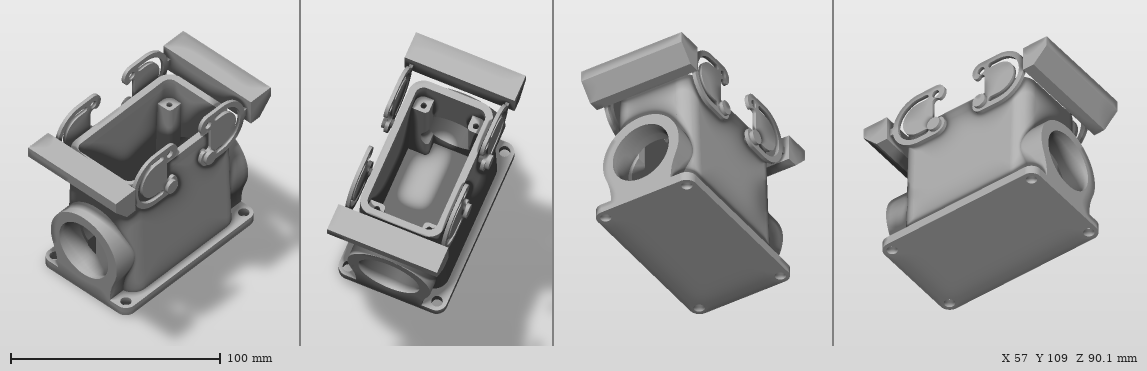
import cadquery as cq
import math


flange_width = 55.6
flange_length = 92.4
flange_height = 4.8
flange_corner_radius = 5.2
screw_hole_diameter = 5.5
screw_hole_inset = 4.8

rim_width = 43.1
base_width = 47.5
tower_length = 73.5
rim_bottom = 68.5
rim_top = 74.0
wall = 3.6
tower_corner_radius = 7.8
floor_height = 3.6
cavity_end_draft = 0.5

boss_top = 61.7
boss_inner_x = 10.0
boss_inner_y = 25.3
boss_edge_radius = 2.2
boss_hole_diameter = 2.9
boss_hole_depth = 10.9
boss_hole_x = 13.5
boss_hole_y = 28.6

collar_radius = 21.5
collar_center_height = 26.9
collar_foot_half_width = 16.9
entry_radius = 15.9
entry_inner_y = 32.4
boss_relief_radius = 14.0

plate_outer_x = 25.8
plate_thickness = 1.9
plate_middle_height = 74.5
plate_half_height = 15.6
bow_center_y = 23.3
band_width = 2.9
slot_width = 3.0
slot_end_y = 19.3
plate_inner_edge_y = 15.5
plate_end_radius = 5.2
notch_radius = 1.9
notch_offset = 4.8
eye_diameter = 4.1

pin_y = 13.5
pin_diameter = 4.3
pin_inner_x = 20.7
pin_head_diameter = 7.3
pin_head_outer_x = 27.8

handle_width = 57.0
handle_outer_y = 54.5
handle_inner_y = 40.5
handle_top = 82.5
handle_bottom = 68.3
handle_face_bottom = 76.6
handle_foot_y = 46.7
stub_height = 4.1

tower_half_length = tower_length / 2
cavity_half_length = tower_half_length - wall
collar_end_y = flange_length / 2


def make_flange():
    screw_spacing_x = flange_width - 2 * screw_hole_inset
    screw_spacing_y = flange_length - 2 * screw_hole_inset
    return (
        cq.Workplane("XY")
        .rect(flange_width, flange_length)
        .extrude(flange_height)
        .edges("|Z")
        .fillet(flange_corner_radius)
        .faces(">Z")
        .workplane()
        .rect(screw_spacing_x, screw_spacing_y, forConstruction=True)
        .vertices()
        .hole(screw_hole_diameter)
    )


def trapezoid_prism(plane, bottom_half, bottom, top_half, half_depth):
    """Symmetric prism whose sides lean from its bottom up to the foot of the rim."""
    return (
        cq.Workplane(plane)
        .polyline([
            (-bottom_half, bottom),
            (bottom_half, bottom),
            (top_half, rim_bottom),
            (-top_half, rim_bottom),
        ])
        .close()
        .extrude(half_depth, both=True)
    )


def tapered_block(inset, bottom, end_draft):
    """Upright rim over a block with flared sides, inset from the tower's outer faces.

    The ends of the block lean inward by end_draft from the rim down to the bottom.
    """
    corner_radius = tower_corner_radius - inset
    half_width = rim_width / 2 - inset
    half_length = tower_half_length - inset
    flare_per_height = (base_width - rim_width) / 2 / (rim_bottom - flange_height)
    bottom_half_width = half_width + flare_per_height * (rim_bottom - bottom)
    sides = trapezoid_prism("XZ", bottom_half_width, bottom, half_width, half_length)
    ends = trapezoid_prism("YZ", half_length - end_draft, bottom, half_length, bottom_half_width)
    block = sides.intersect(ends).edges("not #Z").fillet(corner_radius)
    rim = (
        cq.Workplane("XY", origin=(0, 0, rim_bottom))
        .rect(2 * half_width, 2 * half_length)
        .extrude(rim_top - rim_bottom)
        .edges("|Z")
        .fillet(corner_radius)
    )
    return block.union(rim)


def make_collar(side):
    """Ring boss standing on a flared foot, from inside the end wall out to the flange edge."""
    drop = collar_center_height - flange_height
    foot_radius = (collar_foot_half_width**2 + drop**2 - collar_radius**2) / (
        2 * (collar_radius - collar_foot_half_width)
    )
    foot_center_x = collar_foot_half_width + foot_radius
    center_distance = collar_radius + foot_radius
    tangent_x = foot_center_x * collar_radius / center_distance
    tangent_z = collar_center_height - drop * collar_radius / center_distance
    mid_angle = math.atan2(drop, foot_center_x) / 2
    mid_x = foot_center_x - foot_radius * math.cos(mid_angle)
    mid_z = flange_height + foot_radius * math.sin(mid_angle)
    inner_y = cavity_half_length
    return (
        cq.Workplane("XZ", origin=(0, side * inner_y, 0))
        .moveTo(-collar_foot_half_width, 0)
        .lineTo(collar_foot_half_width, 0)
        .lineTo(collar_foot_half_width, flange_height)
        .threePointArc((mid_x, mid_z), (tangent_x, tangent_z))
        .threePointArc((0, collar_center_height + collar_radius), (-tangent_x, tangent_z))
        .threePointArc((-mid_x, mid_z), (-collar_foot_half_width, flange_height))
        .close()
        .extrude(-side * (collar_end_y - inner_y))
    )


def make_boss(side_x, side_y):
    """Corner column with a rounded inner edge; its outer sides run into the cavity walls."""
    outer_x = base_width / 2
    outer_y = tower_half_length
    return (
        cq.Workplane("XY")
        .moveTo(side_x * outer_x, side_y * boss_inner_y)
        .lineTo(side_x * (boss_inner_x + boss_edge_radius), side_y * boss_inner_y)
        .radiusArc(
            (side_x * boss_inner_x, side_y * (boss_inner_y + boss_edge_radius)),
            side_x * side_y * boss_edge_radius,
        )
        .lineTo(side_x * boss_inner_x, side_y * outer_y)
        .lineTo(side_x * outer_x, side_y * outer_y)
        .close()
        .extrude(boss_top)
        .faces(">Z")
        .workplane(origin=(side_x * boss_hole_x, side_y * boss_hole_y))
        .hole(boss_hole_diameter, boss_hole_depth)
    )


def y_cylinder(radius, half_length):
    """Cylinder along Y through the middle of the cable entries."""
    return (
        cq.Workplane("XZ")
        .center(0, collar_center_height)
        .circle(radius)
        .extrude(half_length, both=True)
    )


def make_housing():
    cavity = tapered_block(wall, floor_height, cavity_end_draft)
    between_entries = cq.Workplane("XY").box(flange_width, 2 * entry_inner_y, 2 * rim_top)
    entries = y_cylinder(entry_radius, collar_end_y).cut(between_entries)

    housing = make_flange().union(tapered_block(0, flange_height, 0))
    for side in (-1, 1):
        housing = housing.union(make_collar(side))
    housing = housing.cut(cavity)
    for side_x in (-1, 1):
        for side_y in (-1, 1):
            housing = housing.union(make_boss(side_x, side_y).intersect(cavity))
    return housing.cut(entries).cut(y_cylinder(boss_relief_radius, collar_end_y))


def half_plate():
    """Upper half of the +X side plate of the +Y lever, before the slot is cut."""
    middle = plate_middle_height
    top = middle + plate_half_height
    eye_z = top - plate_end_radius
    notch_z = eye_z - notch_offset
    notch_y = plate_inner_edge_y - notch_radius
    lobe_distance = plate_end_radius - notch_radius
    gap_y = notch_y - pin_y
    gap = math.hypot(gap_y, notch_offset)
    along = (lobe_distance**2 - (2 * notch_radius) ** 2 + gap**2) / (2 * gap)
    lobe_angle = math.acos(along / lobe_distance) - math.atan2(gap_y, notch_offset)
    lobe_y = pin_y - lobe_distance * math.sin(lobe_angle)
    lobe_z = eye_z - lobe_distance * math.cos(lobe_angle)
    tip_scale = plate_end_radius / lobe_distance
    tip = (pin_y + (lobe_y - pin_y) * tip_scale, eye_z + (lobe_z - eye_z) * tip_scale)
    meeting = ((lobe_y + notch_y) / 2, (lobe_z + notch_z) / 2)
    return (
        cq.Workplane("YZ", origin=(plate_outer_x - plate_thickness, 0, 0))
        .moveTo(plate_inner_edge_y, middle)
        .lineTo(bow_center_y + plate_half_height, middle)
        .radiusArc((bow_center_y, top), -plate_half_height)
        .lineTo(pin_y, top)
        .threePointArc((pin_y - plate_end_radius, eye_z), tip)
        .threePointArc((lobe_y, lobe_z - notch_radius), meeting)
        .threePointArc((notch_y, notch_z + notch_radius), (plate_inner_edge_y, notch_z))
        .close()
        .extrude(plate_thickness)
    )


def plate_slot():
    """C-shaped slot with round ends that follows the bow of the plate."""
    middle = plate_middle_height
    outer = plate_half_height - band_width
    inner = outer - slot_width
    end_radius = slot_width / 2
    end_tip_y = slot_end_y - end_radius
    return (
        cq.Workplane("YZ")
        .moveTo(slot_end_y, middle + outer)
        .lineTo(bow_center_y, middle + outer)
        .threePointArc((bow_center_y + outer, middle), (bow_center_y, middle - outer))
        .lineTo(slot_end_y, middle - outer)
        .threePointArc((end_tip_y, middle - outer + end_radius), (slot_end_y, middle - inner))
        .lineTo(bow_center_y, middle - inner)
        .threePointArc((bow_center_y + inner, middle), (bow_center_y, middle + inner))
        .lineTo(slot_end_y, middle + inner)
        .threePointArc((end_tip_y, middle + inner + end_radius), (slot_end_y, middle + outer))
        .close()
        .extrude(pin_head_outer_x)
    )


def x_cylinder(diameter, start_x, end_x, height):
    """Cylinder along X on the pin's Y position."""
    return (
        cq.Workplane("YZ", origin=(start_x, pin_y, height))
        .circle(diameter / 2)
        .extrude(end_x - start_x)
    )


def lever_side():
    """Side plate at +X with its pin and the stub that carries the handle."""
    plate_inner_x = plate_outer_x - plate_thickness
    eye_height = plate_middle_height + plate_half_height - plate_end_radius
    pin_height = plate_middle_height - plate_half_height + plate_end_radius
    upper_half = half_plate()
    lower_half = upper_half.mirror("XY", (0, 0, plate_middle_height))
    stub_start_y = bow_center_y + plate_half_height - band_width / 2
    stub = (
        cq.Workplane("XY", origin=(plate_inner_x, stub_start_y, plate_middle_height))
        .box(
            plate_thickness,
            handle_inner_y - stub_start_y,
            stub_height,
            centered=(False, False, True),
        )
    )
    return (
        upper_half.union(lower_half)
        .cut(plate_slot())
        .cut(x_cylinder(eye_diameter, plate_inner_x, plate_outer_x, eye_height))
        .union(stub)
        .union(x_cylinder(pin_diameter, pin_inner_x, plate_outer_x, pin_height))
        .union(x_cylinder(pin_head_diameter, plate_outer_x, pin_head_outer_x, pin_height))
    )


def lever_handle():
    return (
        cq.Workplane("YZ")
        .polyline([
            (handle_inner_y, handle_bottom),
            (handle_foot_y, handle_bottom),
            (handle_outer_y, handle_face_bottom),
            (handle_outer_y, handle_top),
            (handle_inner_y, handle_top),
        ])
        .close()
        .extrude(handle_width / 2, both=True)
    )


def make_rear_lever():
    side = lever_side()
    return lever_handle().union(side).union(side.mirror("YZ"))


rear_lever = make_rear_lever()
front_lever = rear_lever.mirror("XZ")

housing = make_housing().union(rear_lever).cut(front_lever)

result = cq.Compound.makeCompound([housing.solids().val(), front_lever.solids().val()])